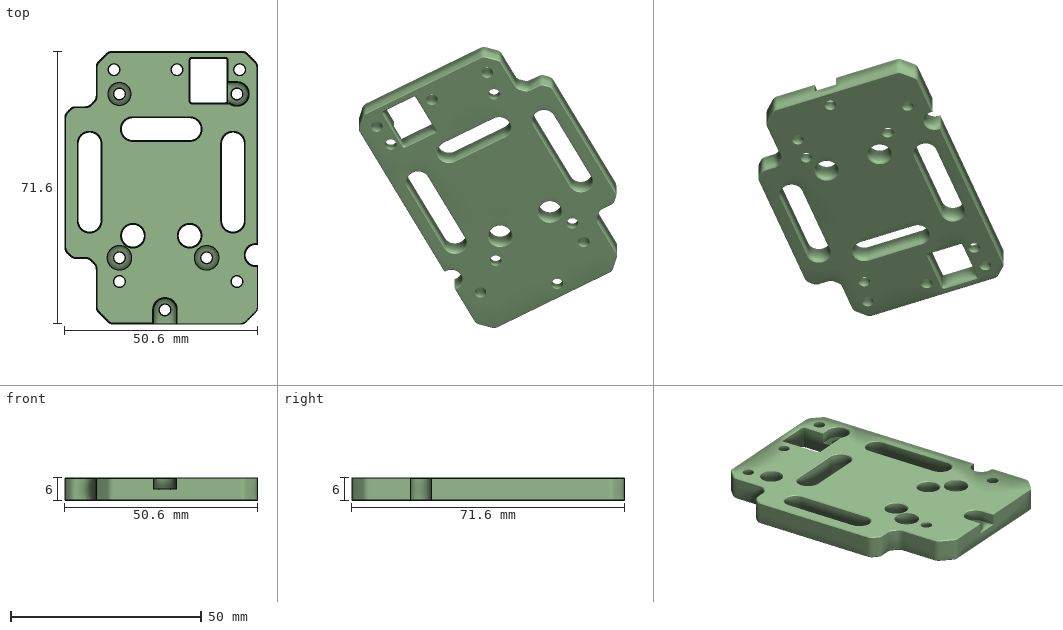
import cadquery as cq

WIDTH = 50.6
LENGTH = 71.6
THICKNESS = 6.0
MID_X = WIDTH / 2

STEP_X = 8.2
LOWER_LEDGE_Y = 17.25
UPPER_LEDGE_Y = 57.1
LOWER_CORNER_CUT = 3.65
UPPER_CORNER_CUT = 3.3
STEP_CUT = 2.0
CORNER_RADIUS = 2.0
EDGE_BREAK = 0.2

NOTCH_RADIUS = 2.8
NOTCH_INSET = 0.5
NOTCH_CENTER = (WIDTH - NOTCH_INSET, 18.1)

OPENING_RADIUS = 3.0
SIDE_SLOT_OFFSET = 18.8
SIDE_SLOT_BOTTOM = 24.1
SIDE_SLOT_TOP = 50.4
CROSS_SLOT_LENGTH = 21.0
CROSS_SLOT_Y = 51.2
LARGE_HOLE_OFFSET = 7.45
LARGE_HOLE_Y = 23.2

WINDOW_LEFT = 32.9
WINDOW_RIGHT = 42.6
WINDOW_BOTTOM = 58.1
WINDOW_TOP = 69.8
WINDOW_RADIUS = 0.5

HOLE_RADIUS = 1.5
HEAD_RADIUS = 3.0
LARGE_HEAD_RADIUS = 3.2
HEAD_DEPTH = 3.0
SEAT_Z = THICKNESS - HEAD_DEPTH

LEFT_X = 14.3
RIGHT_X = 45.2
UPPER_Y = 60.45
LOWER_Y = 11.2
HEAD_ROW_Y = 17.4
TOP_ROW = [(12.9, 66.8), (29.4, 66.8), (45.9, 66.8)]
LOWER_ROW = [(LEFT_X, LOWER_Y), (RIGHT_X, LOWER_Y)]
UPPER_LEFT_SCREW = (LEFT_X, UPPER_Y)
WINDOW_SCREW = (RIGHT_X, UPPER_Y)
LARGE_HEAD_SCREWS = [(LEFT_X, HEAD_ROW_Y), (37.25, HEAD_ROW_Y)]
END_SCREW = (26.3, 3.7)


def cylinder(center, radius, floor=0.0):
    """Upright cutter from the floor height to the top face."""
    return cq.Workplane("XY", origin=(*center, floor)).circle(radius).extrude(THICKNESS - floor)


def block(left, right, bottom, top, floor=0.0):
    """Rectangular cutter from the floor height to the top face."""
    size = (right - left, top - bottom, THICKNESS - floor)
    return cq.Workplane("XY", origin=(left, bottom, floor)).box(*size, centered=False)


def slot(center, length, angle):
    """Round-ended through cutter."""
    profile = cq.Workplane("XY", origin=(*center, 0)).slot2D(length, 2 * OPENING_RADIUS, angle)
    return profile.extrude(THICKNESS)


def make_plate():
    outline = [
        (STEP_X + LOWER_CORNER_CUT, 0),
        (WIDTH - LOWER_CORNER_CUT, 0),
        (WIDTH, LOWER_CORNER_CUT),
        (WIDTH, LENGTH - UPPER_CORNER_CUT),
        (WIDTH - UPPER_CORNER_CUT, LENGTH),
        (STEP_X + UPPER_CORNER_CUT, LENGTH),
        (STEP_X, LENGTH - UPPER_CORNER_CUT),
        (STEP_X, UPPER_LEDGE_Y + STEP_CUT),
        (STEP_X - STEP_CUT, UPPER_LEDGE_Y),
        (STEP_CUT, UPPER_LEDGE_Y),
        (0, UPPER_LEDGE_Y - STEP_CUT),
        (0, LOWER_LEDGE_Y + STEP_CUT),
        (STEP_CUT, LOWER_LEDGE_Y),
        (STEP_X - STEP_CUT, LOWER_LEDGE_Y),
        (STEP_X, LOWER_LEDGE_Y - STEP_CUT),
        (STEP_X, LOWER_CORNER_CUT),
    ]
    plate = cq.Workplane("XY").polyline(outline).close().extrude(THICKNESS)
    plate = plate.edges("|Z").fillet(CORNER_RADIUS)
    notch_x, notch_y = NOTCH_CENTER
    plate = plate.cut(cylinder(NOTCH_CENTER, NOTCH_RADIUS))
    return plate.cut(block(notch_x, WIDTH, notch_y - NOTCH_RADIUS, notch_y + NOTCH_RADIUS))


def cut_openings(plate):
    side_length = SIDE_SLOT_TOP - SIDE_SLOT_BOTTOM
    side_y = (SIDE_SLOT_TOP + SIDE_SLOT_BOTTOM) / 2
    for side in (-1, 1):
        plate = plate.cut(slot((MID_X + side * SIDE_SLOT_OFFSET, side_y), side_length, 90))
        plate = plate.cut(cylinder((MID_X + side * LARGE_HOLE_OFFSET, LARGE_HOLE_Y), OPENING_RADIUS))
    plate = plate.cut(slot((MID_X, CROSS_SLOT_Y), CROSS_SLOT_LENGTH, 0))
    window = block(WINDOW_LEFT, WINDOW_RIGHT, WINDOW_BOTTOM, WINDOW_TOP)
    return plate.cut(window.edges("|Z").fillet(WINDOW_RADIUS))


def cut_open_seats(plate):
    """Head recesses that run out into the window and through the lower end."""
    screw_x, screw_y = WINDOW_SCREW
    runout_left = WINDOW_RIGHT - WINDOW_RADIUS
    plate = plate.cut(cylinder(WINDOW_SCREW, HEAD_RADIUS, SEAT_Z))
    plate = plate.cut(block(runout_left, screw_x, WINDOW_BOTTOM, screw_y + HEAD_RADIUS, SEAT_Z))
    end_x, end_y = END_SCREW
    plate = plate.cut(cylinder(END_SCREW, HEAD_RADIUS, SEAT_Z))
    return plate.cut(block(end_x - HEAD_RADIUS, end_x + HEAD_RADIUS, 0, end_y, SEAT_Z))


def on_sharp_stretch(edge):
    """The outline stays sharp from the end recess round to the notch."""
    center = edge.Center()
    on_end = center.x > END_SCREW[0] + HEAD_RADIUS and center.y < LOWER_CORNER_CUT + CORNER_RADIUS
    on_side = center.x > WIDTH - EDGE_BREAK and center.y < NOTCH_CENTER[1] - NOTCH_RADIUS
    return on_end or on_side


def break_edges(plate):
    plate = plate.faces("<Z").edges().chamfer(EDGE_BREAK)
    rim = plate.faces(">Z").edges().filter(lambda edge: not on_sharp_stretch(edge))
    return rim.chamfer(EDGE_BREAK)


def cut_screws(plate):
    plate = plate.cut(cylinder(UPPER_LEFT_SCREW, HEAD_RADIUS, SEAT_Z))
    for center in LARGE_HEAD_SCREWS:
        plate = plate.cut(cylinder(center, LARGE_HEAD_RADIUS, SEAT_Z))
    headed = [UPPER_LEFT_SCREW, WINDOW_SCREW, END_SCREW] + LARGE_HEAD_SCREWS
    for center in headed + TOP_ROW + LOWER_ROW:
        plate = plate.cut(cylinder(center, HOLE_RADIUS))
    return plate


plate = make_plate()
plate = cut_openings(plate)
plate = cut_open_seats(plate)
plate = break_edges(plate)
result = cut_screws(plate)